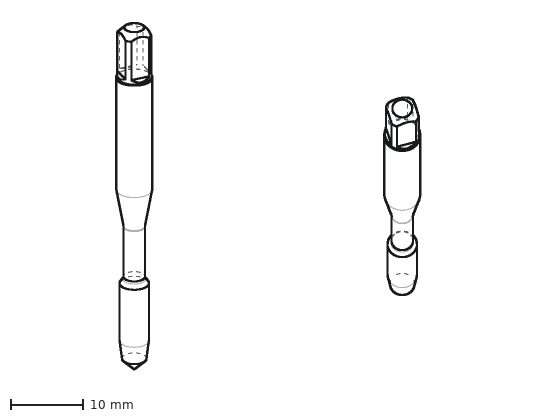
import cadquery as cq
import math

total_length = 53.35
shank_top = 45.55
shank_bottom = 28.1
body_joint = 14.5
thread_top = 13.5
lead_top = 4.55

drive_radius = 4.8 / 2
shank_radius = 5.0 / 2
neck_radius = 3.0 / 2
thread_radius = 4.1 / 2
lead_end_radius = 1.7

across_flats = 3.95
flat_bottom = 46.35
drive_end_radius = 1.4
drive_chamfer = drive_radius - drive_end_radius

shank_chamfer = shank_radius - drive_radius
shank_taper_angle = math.radians(10)
shoulder_angle = math.radians(35)
neck_fillet = 1.05
shoulder_fillet = 0.55
point_height = lead_end_radius

neck_top = shank_bottom - (shank_radius - neck_radius) / math.tan(shank_taper_angle)

shoulder_top = thread_top + (thread_radius - neck_radius) / math.tan(shoulder_angle)


def revolve_profile(points):
    """Turn a closed (radius, height) outline around the Z axis."""
    return cq.Workplane("XZ").polyline(points).close().revolve(360, (0, 0), (0, 1))


def edge_at(height):
    """Select the circular edge at a given height."""
    margin = 0.005
    return cq.selectors.BoxSelector(
        (-margin, -margin, height - margin), (margin, margin, height + margin)
    )


def flat_cutter():
    """Material removed beside one flat, with a 45 degree run-out at its lower end."""
    flat_distance = across_flats / 2
    depth = shank_radius - flat_distance
    half_width = shank_radius
    return (
        cq.Workplane("XZ")
        .polyline([
            (flat_distance, total_length),
            (flat_distance, flat_bottom),
            (flat_distance + depth, flat_bottom - depth),
            (flat_distance + depth, total_length),
        ])
        .close()
        .extrude(half_width, both=True)
    )


def make_shank():
    """Square drive, cylindrical shank, taper and neck."""
    shank = revolve_profile([
        (0, body_joint),
        (neck_radius, body_joint),
        (neck_radius, neck_top),
        (shank_radius, shank_bottom),
        (shank_radius, shank_top),
        (drive_radius, shank_top + shank_chamfer),
        (drive_radius, total_length - drive_chamfer),
        (drive_end_radius, total_length),
        (0, total_length),
    ])
    shank = shank.edges(edge_at(neck_top)).fillet(neck_fillet)
    for side in range(4):
        shank = shank.cut(flat_cutter().rotate((0, 0, 0), (0, 0, 1), 90 * side))
    return shank


def make_cutting_head():
    """Rounded shoulder below the neck, thread cylinder, tapered lead and point."""
    head = revolve_profile([
        (0, 0),
        (lead_end_radius, point_height),
        (thread_radius, lead_top),
        (thread_radius, thread_top),
        (neck_radius, shoulder_top),
        (neck_radius, body_joint),
        (0, body_joint),
    ])
    return head.edges(edge_at(shoulder_top)).fillet(shoulder_fillet)


shank = make_shank()
cutting_head = make_cutting_head()

result = cq.Compound.makeCompound([shank.val(), cutting_head.val()])